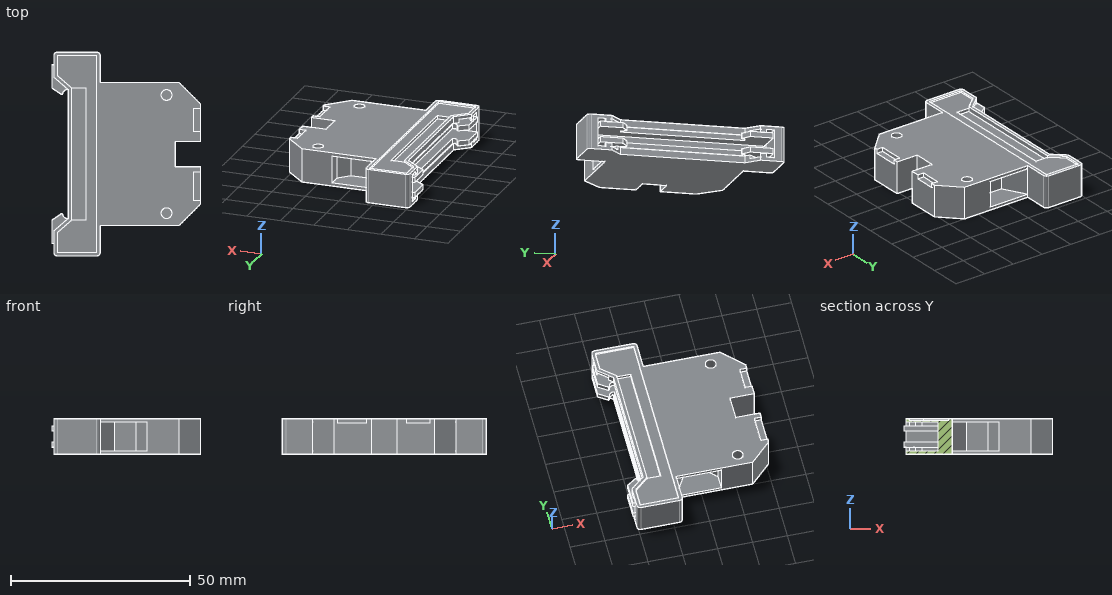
import cadquery as cq

overall_depth = 41.5
thickness = 10.0
wall = 1.0

foot_length = 57.0
foot_front = 0.5
foot_back = 13.5
foot_corner_radius = 1.0
rail_face_x = 4.5
rail_half_width = 18.0
ramp_start_y = 21.5

panel_depth = 0.5
panel_ramp_start_y = 21.95
groove_half_length = 18.45
groove_width = 4.0
groove_depth = 1.0

body_width = 40.0
body_chamfer = 6.0
notch_width = 7.0
notch_depth = 7.0

hole_diameter = 3.0
hole_depth = 5.0
hole_x = 32.0
hole_y = 16.5

label_spans = ((6.25, 12.75), (-13.0, -5.0))
label_pocket_reach = 2.0
label_pocket_depth = 1.25

entry_back_x = 26.5
entry_depth = 7.0
entry_floor_start_x = 17.5
entry_floor_end_x = 23.5

plate_thickness = 1.5
plate_gap = 3.0
plate_half_length = 25.0
plate_edge_x = 4.75
hook_start_y = 18.4
hook_tip_x = 2.7
hook_tip_y = 16.58
relief_start_x = 3.0
relief_start_y = 16.75
relief_end_y = 17.95
relief_radius = 1.35
hollow_back = 9.5
hollow_half_length = 25.5
lip_outer_y = 23.2
lip_side_rise = 0.75
hollow_inner_y = 21.1
window_inner_y = 19.1

foot_half = foot_length / 2
body_half = body_width / 2
mid_z = thickness / 2
hollow_height = thickness - 2 * wall
ramp_run = rail_face_x - foot_front
ramp_drop = ramp_start_y - rail_half_width


def prism(points, bottom, height):
    return cq.Workplane("XY").workplane(offset=bottom).polyline(points).close().extrude(height)


def block(x_min, x_max, y_min, y_max, z_min, z_max):
    size = (x_max - x_min, y_max - y_min, z_max - z_min)
    return cq.Workplane("XY").box(*size, centered=False).translate((x_min, y_min, z_min))


def with_mirror(half):
    """Join a shape with its mirror image across the XZ plane."""
    return half.union(half.mirror("XZ"))


def c_outline(front, back, half_length, bend_y, step_x, step_y):
    """C shaped outline whose front face steps back between two ramps."""
    upper = [
        (back, half_length),
        (front, half_length),
        (front, bend_y),
        (step_x, step_y),
    ]
    lower = [(x, -y) for x, y in reversed(upper)]
    return upper + lower


def make_foot():
    outline = c_outline(foot_front, foot_back, foot_half, ramp_start_y, rail_face_x, rail_half_width)
    foot = prism(outline, 0, thickness)
    return foot.edges("|Z and (>Y or <Y)").fillet(foot_corner_radius)


def make_body():
    shoulder_x = overall_depth - body_chamfer
    shoulder_y = body_half - body_chamfer
    outline = [
        (foot_back - wall, body_half),
        (shoulder_x, body_half),
        (overall_depth, shoulder_y),
        (overall_depth, -shoulder_y),
        (shoulder_x, -body_half),
        (foot_back - wall, -body_half),
    ]
    notch = block(
        overall_depth - notch_depth, overall_depth, -notch_width / 2, notch_width / 2, 0, thickness
    )
    return prism(outline, 0, thickness).cut(notch)


def make_top_recesses():
    panel_floor = thickness - panel_depth
    groove_front = rail_face_x + wall
    outline = c_outline(
        foot_front + wall,
        foot_back - wall,
        foot_half - wall,
        panel_ramp_start_y,
        groove_front,
        groove_half_length,
    )
    panel = prism(outline, panel_floor, panel_depth)
    groove = block(
        groove_front,
        groove_front + groove_width,
        -groove_half_length,
        groove_half_length,
        panel_floor - groove_depth,
        thickness,
    )
    return panel.union(groove)


def make_screw_holes():
    return (
        cq.Workplane("XY")
        .workplane(offset=thickness - hole_depth)
        .pushPoints([(hole_x, hole_y), (hole_x, -hole_y)])
        .circle(hole_diameter / 2)
        .extrude(hole_depth)
    )


def make_label_pocket(y_min, y_max):
    return block(
        overall_depth - label_pocket_reach,
        overall_depth,
        y_min,
        y_max,
        thickness - label_pocket_depth,
        thickness,
    )


def make_wire_entries():
    floor_y = body_half - entry_depth
    chamfer = entry_back_x - entry_floor_end_x
    outline = [
        (foot_back, body_half),
        (entry_back_x, body_half),
        (entry_back_x, floor_y + chamfer),
        (entry_floor_end_x, floor_y),
        (entry_floor_start_x, floor_y),
    ]
    return with_mirror(prism(outline, wall, hollow_height))


def behind_ramp(y, rise):
    """Point reached by going square into the ramp from its point at a given Y until Y grows by rise."""
    ramp_x = foot_front + (ramp_start_y - y) * ramp_run / ramp_drop
    return ramp_x + rise * ramp_drop / ramp_run, y + rise


def make_end_hollows():
    """Hollow at each end of the foot, open through the front and the ramp on both sides of a thin lip."""
    inner_corner = behind_ramp(window_inner_y, hollow_inner_y - window_inner_y)
    outline = [
        (foot_front, hollow_half_length),
        (foot_front, lip_outer_y),
        (foot_front + wall, lip_outer_y),
        behind_ramp(ramp_start_y, lip_side_rise),
        behind_ramp(ramp_start_y, 0),
        behind_ramp(window_inner_y, 0),
        inner_corner,
        (hollow_back, hollow_inner_y),
        (hollow_back, hollow_half_length),
    ]
    return with_mirror(prism(outline, wall, hollow_height))


def make_plate_slot():
    slot_height = plate_gap + 2 * plate_thickness
    return block(
        foot_front,
        hollow_back,
        -hollow_half_length,
        hollow_half_length,
        mid_z - slot_height / 2,
        mid_z + slot_height / 2,
    )


def make_clip_plate(bottom):
    """Flat clip with a hook at each end, each hook rounded out where it meets the straight edge."""
    half = (
        cq.Workplane("XY")
        .workplane(offset=bottom)
        .moveTo(hollow_back, 0)
        .lineTo(hollow_back, plate_half_length)
        .lineTo(0, plate_half_length)
        .lineTo(0, hook_start_y)
        .lineTo(hook_tip_x, hook_tip_y)
        .lineTo(relief_start_x, relief_start_y)
        .radiusArc((plate_edge_x, relief_end_y), relief_radius)
        .lineTo(plate_edge_x, 0)
        .close()
        .extrude(plate_thickness)
    )
    return with_mirror(half)


result = make_foot().union(make_body())
result = result.cut(make_top_recesses())
result = result.cut(make_screw_holes())
for span in label_spans:
    result = result.cut(make_label_pocket(*span))
result = result.cut(make_wire_entries())
result = result.cut(make_end_hollows())
result = result.cut(make_plate_slot())
for plate_bottom in (mid_z - plate_gap / 2 - plate_thickness, mid_z + plate_gap / 2):
    result = result.union(make_clip_plate(plate_bottom))